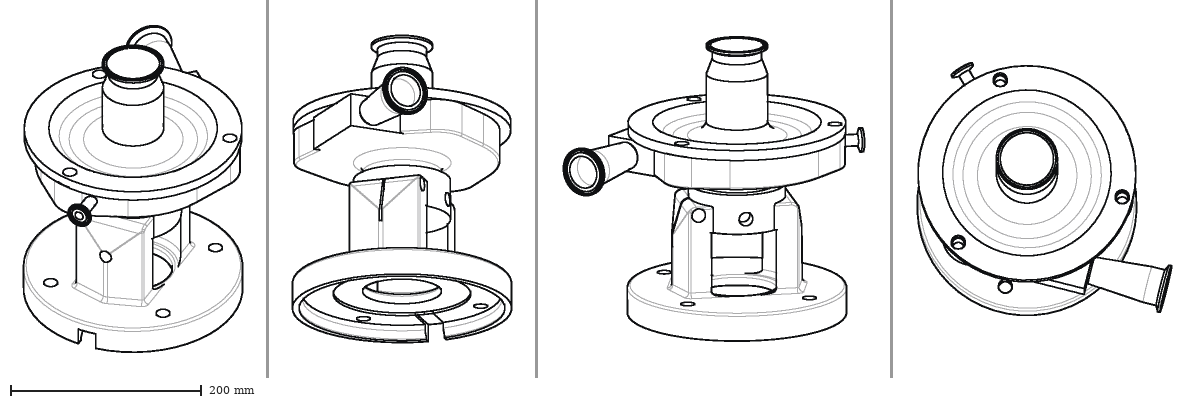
import cadquery as cq
import math

slack = 0.3

base_top = 30.0
housing_bottom = 98.5
leg_top = 127.0
housing_top = 141.0
casing_bottom = 160.7
flange_bottom = 195.8
flange_top = 206.5
inlet_cone_bottom = 259.0
inlet_cone_top = 275.8
inlet_top = 290.5

base_diameter = 230.0
base_radius = base_diameter / 2
base_edge_fillet = 2.5
base_bore_radius = 41.3
base_hole_circle = 91.8
register_radius = 108.0
register_depth = 2.0
ogee_top = 10.0
pocket_radius = 104.3
pocket_depth = 15.7
inner_pocket_radius = 72.0
inner_pocket_depth = 18.7
notch_width = 20.0
notch_height = 18.7

leg_half_width = 39.0
leg_inner_radius = 52.0
leg_shoulder_y = 58.5
leg_ridge_y = 70.0
leg_ridge_fillet = 9.0
leg_slope_bottom = 86.5
leg_slope_top_y = 57.7
leg_top_fillet = 9.5
leg_side_fillet = 2.3
leg_foot_fillet = 5.0
ridge_hole_radius = 6.5
ridge_hole_z = 85.5
split_width = 2.3
split_bottom = 75.5

housing_radius = 50.8
neck_radius = 41.3
neck_fillet = 10.0
side_hole_z = 114.8
side_hole_depth = 16.5
clamp_hole_y = 48.2
clamp_hole_z = 118.0

wall_radii = (97.5, 102.5, 97.5)
block_width = 102.5
casing_edge_fillet = 2.3
lobe_radius = 32.8
lobe_offset = 80.5
bolt_angles = (15, 135, 255)
lobe_spacing = 360 / len(bolt_angles)
bolt_circle = 103.0
bolt_radius = 7.2
thread_radius = 6.2
thread_depth = 36.0
flange_radius = 114.0

dish_depth = 13.8
dish_cone_depth = 10.0
dish_outer_radius = 88.2
dish_cone_radius = 77.7
dish_floor_outer = 67.2
dish_floor_inner = 52.0

inlet_radius = 32.0
inlet_neck_radius = 26.0
clamp_rim = 2.5
clamp_taper = 3.0
gasket_groove_depth = 1.0
gasket_groove_width = 2.3
gasket_groove_land = 2.0

outlet_angle = 135
outlet_offset = 79.0
outlet_z = 178.5
block_length = 88.0
outlet_cone_end = 150.2
bore_cone_end = 156.5
outlet_end = 170.2
outlet_root_radius = 14.5
outlet_root_chamfer = 2.0
outlet_radius = 19.5
outlet_wall = 2.3
bore_root_radius = 10.8
outlet_rim_radius = 25.2

port_z = 180.7
port_start = 101.5
port_end = 133.8
port_radius = 6.2
port_bore_radius = 4.5
port_bore_length = 23.0
port_rim_radius = 12.8


def cylinder(radius, bottom, top):
    return cq.Workplane("XY").workplane(offset=bottom).circle(radius).extrude(top - bottom)


def polar(radius, degrees):
    angle = math.radians(degrees)
    return radius * math.cos(angle), radius * math.sin(angle)


def arc_middle(start, end, tangent_height):
    """Middle point of the arc from start to end that is level at end.

    Points are (radius, height); tangent_height is the height of the arc's level end.
    """
    run = start[0] - end[0]
    rise = start[1] - tangent_height
    arc_radius = (run ** 2 + rise ** 2) / (2 * rise)
    half_sweep = math.asin(abs(run) / arc_radius) / 2
    x = end[0] + math.copysign(arc_radius * math.sin(half_sweep), run)
    return x, tangent_height + arc_radius * (1 - math.cos(half_sweep))


def gasket_groove(rim_radius, end):
    """Shallow ring cut into the end face of a clamp rim."""
    outer = rim_radius - gasket_groove_land
    inner = outer - gasket_groove_width
    ring = cq.Workplane("XY").workplane(offset=end - gasket_groove_depth).circle(outer).circle(inner)
    return ring.extrude(gasket_groove_depth)


def level_zone(half_size, height):
    """Selects what lies wholly within a thin square slab at the given height."""
    return cq.selectors.BoxSelector(
        (-half_size, -half_size, height - slack),
        (half_size, half_size, height + slack),
        boundingbox=True,
    )


def line_zone(y, bottom, top):
    """Selects what is centred on a thin strip along X at the given y, between two heights."""
    return cq.selectors.BoxSelector(
        (-base_radius, y - slack, bottom - slack), (base_radius, y + slack, top + slack)
    )


def base_with_legs():
    body = cylinder(base_radius, 0, base_top).cut(cylinder(base_bore_radius, 0, base_top))
    body = body.faces(">Z").edges().fillet(base_edge_fillet)
    front_leg = leg()
    body = body.union(front_leg).union(front_leg.mirror("XZ"))
    bore_rim = level_zone(leg_inner_radius - leg_foot_fillet, base_top)
    foot_edges = level_zone(leg_ridge_y + slack, base_top) - bore_rim
    return body.edges(foot_edges).fillet(leg_foot_fillet)


def leg():
    """Leg on the -Y side: ridged outer face, sloped top, round inner face."""
    plan = (
        cq.Workplane("XY")
        .workplane(offset=base_top)
        .moveTo(-leg_half_width, 0)
        .lineTo(-leg_half_width, -leg_shoulder_y)
        .lineTo(0, -leg_ridge_y)
        .lineTo(leg_half_width, -leg_shoulder_y)
        .lineTo(leg_half_width, 0)
        .close()
        .extrude(leg_top - base_top)
    )
    plan = plan.edges("|Z and <Y").fillet(leg_ridge_fillet)
    shoulder_zone = line_zone(-leg_shoulder_y, base_top, leg_top)
    plan = plan.edges("|Z").edges(shoulder_zone).fillet(leg_side_fillet)
    side = (
        cq.Workplane("YZ")
        .moveTo(0, base_top)
        .lineTo(-leg_ridge_y, base_top)
        .lineTo(-leg_ridge_y, leg_slope_bottom)
        .lineTo(-leg_slope_top_y, leg_top)
        .lineTo(0, leg_top)
        .close()
        .extrude(leg_half_width, both=True)
    )
    top_zone = line_zone(-leg_slope_top_y, leg_top, leg_top)
    side = side.edges("|X").edges(top_zone).fillet(leg_top_fillet)
    body = plan.intersect(side).edges(">Z and |Y").fillet(leg_side_fillet)
    return body.cut(cylinder(leg_inner_radius, 0, housing_bottom))


def cut_base(body):
    body = body.cut(underside_pocket())
    holes = (
        cq.Workplane("XY")
        .polarArray(base_hole_circle, 45, 360, 4)
        .circle(bolt_radius)
        .extrude(base_top)
    )
    notch = cq.Workplane("XY").box(
        notch_width, base_radius - inner_pocket_radius, notch_height, centered=(True, False, False)
    ).translate((0, -base_radius, 0))
    return body.cut(holes).cut(notch)


def underside_pocket():
    """Stepped round pocket whose register blends into the pocket wall with an ogee."""
    upward = (0, 1)
    pocket = (
        cq.Workplane("XZ")
        .lineTo(register_radius, 0)
        .lineTo(register_radius, register_depth)
        .spline([(pocket_radius, ogee_top)], tangents=[upward, upward], includeCurrent=True)
        .lineTo(pocket_radius, pocket_depth)
        .lineTo(inner_pocket_radius, pocket_depth)
        .lineTo(inner_pocket_radius, inner_pocket_depth)
        .lineTo(0, inner_pocket_depth)
        .close()
    )
    return pocket.revolve(360, (0, 0, 0), (0, 1, 0))


def tangent_spread(wall_radius):
    """Angle in degrees between a lobe's axis and the normal of its tangent to the casing wall."""
    return math.degrees(math.acos((wall_radius - lobe_radius) / lobe_offset))


def lobe_point(angle, turn):
    """Point on the lobe at the given angle whose normal is turned from the lobe's axis."""
    center_x, center_y = polar(lobe_offset, angle)
    x, y = polar(lobe_radius, angle + turn)
    return center_x + x, center_y + y


def casing():
    """Disc with lobes around the flange bolts, joined by common tangents, plus the outlet block."""
    outline = cq.Workplane("XY").workplane(offset=casing_bottom)
    outline = outline.moveTo(*polar(wall_radii[-1], bolt_angles[0] - tangent_spread(wall_radii[-1])))
    for index, angle in enumerate(bolt_angles):
        radius_before = wall_radii[index - 1]
        radius_after = wall_radii[index]
        next_angle = bolt_angles[(index + 1) % len(bolt_angles)]
        start = angle + tangent_spread(radius_after)
        end = next_angle - tangent_spread(radius_after)
        outline = outline.lineTo(*lobe_point(angle, -tangent_spread(radius_before)))
        outline = outline.threePointArc(
            lobe_point(angle, 0), lobe_point(angle, tangent_spread(radius_after))
        )
        outline = outline.lineTo(*polar(radius_after, start))
        outline = outline.threePointArc(
            polar(radius_after, angle + lobe_spacing / 2), polar(radius_after, end)
        )
    height = flange_bottom - casing_bottom
    body = outline.close().extrude(height).faces("<Z").edges().fillet(casing_edge_fillet)
    block = (
        cq.Workplane("XY")
        .box(block_length, block_width, height, centered=(False, False, False))
        .mirror("XZ")
        .rotate((0, 0, 0), (0, 0, 1), outlet_angle)
        .translate((0, 0, casing_bottom))
    )
    return body.union(block)


def turned_core():
    """Housing, neck, dished flange and inlet tube as one turned shape."""
    floor = flange_top - dish_depth
    neck_top = casing_bottom - neck_fillet
    bend = neck_fillet * (1 - math.sqrt(0.5))
    cone_end = (dish_cone_radius, flange_top - dish_cone_depth)
    floor_outer = (dish_floor_outer, floor)
    floor_inner = (dish_floor_inner, floor)
    column_foot = (inlet_radius, flange_top)
    rim_bottom = inlet_top - clamp_rim
    profile = (
        cq.Workplane("XZ")
        .moveTo(0, housing_bottom)
        .lineTo(housing_radius, housing_bottom)
        .lineTo(housing_radius, housing_top)
        .lineTo(neck_radius, housing_top)
        .lineTo(neck_radius, neck_top)
        .threePointArc(
            (neck_radius + bend, casing_bottom - bend), (neck_radius + neck_fillet, casing_bottom)
        )
        .lineTo(neck_radius + neck_fillet, flange_bottom)
        .lineTo(flange_radius, flange_bottom)
        .lineTo(flange_radius, flange_top)
        .lineTo(dish_outer_radius, flange_top)
        .lineTo(*cone_end)
        .threePointArc(arc_middle(cone_end, floor_outer, floor), floor_outer)
        .lineTo(*floor_inner)
        .threePointArc(arc_middle(column_foot, floor_inner, floor), column_foot)
        .lineTo(inlet_radius, inlet_cone_bottom)
        .lineTo(inlet_neck_radius, inlet_cone_top)
        .lineTo(inlet_neck_radius, rim_bottom - clamp_taper)
        .lineTo(inlet_radius, rim_bottom)
        .lineTo(inlet_radius, inlet_top)
        .lineTo(0, inlet_top)
        .close()
    )
    core = profile.revolve(360, (0, 0, 0), (0, 1, 0))
    return core.cut(gasket_groove(inlet_radius, inlet_top))


def flange_bolt_holes():
    holes = cylinder(bolt_radius, flange_bottom, flange_top).union(
        cylinder(thread_radius, flange_top - thread_depth, flange_bottom)
    )
    holes = holes.translate((bolt_circle, 0, 0))
    pattern = cq.Workplane("XY")
    for angle in bolt_angles:
        pattern = pattern.union(holes.rotate((0, 0, 0), (0, 0, 1), angle))
    return pattern


def place_outlet(shape):
    """Lay a shape built along Z onto the outlet axis."""
    shape = shape.rotate((0, 0, 0), (0, 1, 0), 90).translate((0, -outlet_offset, outlet_z))
    return shape.rotate((0, 0, 0), (0, 0, 1), outlet_angle)


def outlet_pipe():
    rim_bottom = outlet_end - clamp_rim
    pipe = (
        cq.Workplane("XZ")
        .moveTo(0, block_length)
        .lineTo(outlet_root_radius - outlet_root_chamfer, block_length)
        .lineTo(outlet_root_radius, block_length + outlet_root_chamfer)
        .lineTo(outlet_radius, outlet_cone_end)
        .lineTo(outlet_radius, rim_bottom - clamp_taper)
        .lineTo(outlet_rim_radius, rim_bottom)
        .lineTo(outlet_rim_radius, outlet_end)
        .lineTo(0, outlet_end)
        .close()
        .revolve(360, (0, 0, 0), (0, 1, 0))
    )
    return place_outlet(pipe.cut(gasket_groove(outlet_rim_radius, outlet_end)))


def outlet_bore():
    bore = (
        cq.Workplane("XZ")
        .moveTo(0, block_length)
        .lineTo(bore_root_radius, block_length)
        .lineTo(outlet_radius - outlet_wall, bore_cone_end)
        .lineTo(outlet_radius - outlet_wall, outlet_end)
        .lineTo(0, outlet_end)
        .close()
        .revolve(360, (0, 0, 0), (0, 1, 0))
    )
    return place_outlet(bore)


def drain_port():
    rim_bottom = port_end - clamp_rim
    port = (
        cq.Workplane("XZ")
        .moveTo(0, port_start)
        .lineTo(port_radius, port_start)
        .lineTo(port_radius, rim_bottom - clamp_rim)
        .lineTo(port_rim_radius, rim_bottom)
        .lineTo(port_rim_radius, port_end)
        .lineTo(0, port_end)
        .close()
        .revolve(360, (0, 0, 0), (0, 1, 0))
    )
    port = port.cut(cylinder(port_bore_radius, port_end - port_bore_length, port_end))
    port = port.cut(gasket_groove(port_rim_radius, port_end))
    return port.rotate((0, 0, 0), (1, 0, 0), 90).translate((0, 0, port_z))


def leg_and_housing_cuts():
    ridge_hole = (
        cq.Workplane("XZ").center(0, ridge_hole_z).circle(ridge_hole_radius).extrude(leg_ridge_y)
    )
    clamp_hole = (
        cq.Workplane("YZ")
        .center(clamp_hole_y, clamp_hole_z)
        .circle(bolt_radius)
        .extrude(leg_half_width, both=True)
    )
    side_hole = (
        cq.Workplane("YZ")
        .workplane(offset=-housing_radius)
        .center(0, side_hole_z)
        .circle(bolt_radius)
        .extrude(side_hole_depth)
    )
    split = cq.Workplane("XY").box(
        split_width, leg_ridge_y, leg_top - split_bottom, centered=(True, False, False)
    ).translate((0, housing_radius, split_bottom))
    return ridge_hole.union(clamp_hole).union(side_hole).union(split)


body = cut_base(base_with_legs())
body = body.union(turned_core()).union(casing())
body = body.union(outlet_pipe()).union(drain_port())
result = body.cut(flange_bolt_holes()).cut(outlet_bore()).cut(leg_and_housing_cuts())